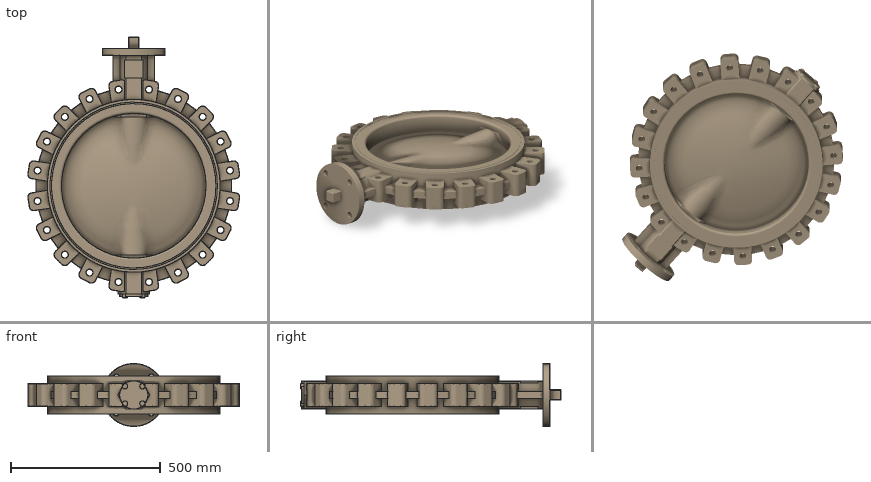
import cadquery as cq
import math


BODY_RADIUS = 288.0
BODY_WIDTH = 128.0
BORE_RADIUS = 241.0
BORE_LIP_RADIUS = 8.0
GROOVE_INNER_RADIUS = 274.0
GROOVE_OUTER_RADIUS = 279.0
GROOVE_DEPTH = 2.0

LUG_COUNT = 20
LUG_PITCH = 360.0 / LUG_COUNT
LUG_REACH = 355.0
LUG_WIDTH = 60.0
LUG_HEIGHT = 76.0
LUG_CORNER_RADIUS = 15.0
LUG_ROOT = 265.0
BOLT_CIRCLE_RADIUS = 325.0
BOLT_HOLE_DIAMETER = 22.0
WEB_APOTHEM = 326.5
WEB_HEIGHT = 24.0

DISC_BLANK_RADIUS = 270.0
DISC_RIM_RADIUS = 245.0
DISC_RIM_THICKNESS = 10.0
DISC_BLEND_OUTER_RADIUS = 225.0
DISC_DOME_RADIUS = 211.0
DISC_DOME_EDGE_HEIGHT = 7.4
DISC_DOME_TOP = 43.0

HUB_END = 230.0
HUB_ROOT = 250.0
HUB_ROOT_RADIUS = 47.7
HUB_TAPER_BREAK = 142.0
HUB_BREAK_RADIUS = 44.0
HUB_TIP = 55.0
HUB_TIP_RADIUS = 39.0
HUB_BLEND_RADIUS = 36.0
SEAT_BOSS_HEIGHT = 84.0
SEAT_BOSS_CHAMFER = 30.0

NECK_ACROSS_FLATS = 92.0
NECK_ROOT = 260.0
LOWER_NECK_END = 361.0

FLANGE_DIAMETER = 210.0
FLANGE_INNER_FACE = 434.5
FLANGE_OUTER_FACE = 458.5
FLANGE_BOLT_CIRCLE = 165.0
FLANGE_HOLE_DIAMETER = 22.0
RIB_WIDTH = 140.0
SQUARE_SIZE = 35.0
SQUARE_END = 496.0
SQUARE_EDGE_CHAMFER = 2.0
PAD_WIDTH = 61.0
PAD_START = 360.0
PAD_LENGTH = 59.0
PAD_PROUD = 1.0

COVER_RADIUS = 47.0
COVER_OUTER_FACE = 370.0
SCREW_OFFSET = 29.0
SCREW_HEAD_DIAMETER = 18.0
SCREW_HEAD_END = 374.0
SCREW_HEAD_ROUNDING = 3.9


def xz_plane(y):
    """Sketch plane at the given Y, its normal pointing along +Y and its local Y along Z."""
    return cq.Workplane(cq.Plane(origin=(0, y, 0), xDir=(-1, 0, 0), normal=(0, 1, 0)))


def make_body():
    half = BODY_WIDTH / 2
    lip_start = BORE_RADIUS + BORE_LIP_RADIUS
    lip_end = half - BORE_LIP_RADIUS
    lip_mid_offset = BORE_LIP_RADIUS * (1 - math.sqrt(0.5))
    ring = (
        cq.Workplane("XZ")
        .moveTo(BORE_RADIUS, -lip_end)
        .lineTo(BORE_RADIUS, lip_end)
        .threePointArc((BORE_RADIUS + lip_mid_offset, half - lip_mid_offset), (lip_start, half))
        .lineTo(BODY_RADIUS, half)
        .lineTo(BODY_RADIUS, -half)
        .lineTo(lip_start, -half)
        .threePointArc((BORE_RADIUS + lip_mid_offset, lip_mid_offset - half), (BORE_RADIUS, -lip_end))
        .close()
        .revolve(360, (0, 0, 0), (0, 1, 0))
    )
    for bottom in (half - GROOVE_DEPTH, -half):
        groove = (
            cq.Workplane("XY", origin=(0, 0, bottom))
            .circle(GROOVE_OUTER_RADIUS)
            .circle(GROOVE_INNER_RADIUS)
            .extrude(GROOVE_DEPTH)
        )
        ring = ring.cut(groove)
    return ring


def make_web():
    corner_radius = WEB_APOTHEM / math.cos(math.pi / LUG_COUNT)
    return (
        cq.Workplane("XY", origin=(0, 0, -WEB_HEIGHT / 2))
        .polygon(LUG_COUNT, 2 * corner_radius)
        .extrude(WEB_HEIGHT)
        .rotate((0, 0, 0), (0, 0, 1), LUG_PITCH / 2)
        .cut(cq.Workplane("XY", origin=(0, 0, -WEB_HEIGHT / 2)).circle(LUG_ROOT).extrude(WEB_HEIGHT))
    )


def lug_angles():
    return [(i + 0.5) * LUG_PITCH for i in range(LUG_COUNT)]


def make_lug(angle):
    length = LUG_REACH - LUG_ROOT
    return (
        cq.Workplane("XY")
        .box(length, LUG_WIDTH, LUG_HEIGHT)
        .edges("|Z and >X")
        .fillet(LUG_CORNER_RADIUS)
        .translate((LUG_ROOT + length / 2, 0, 0))
        .rotate((0, 0, 0), (0, 0, 1), angle)
    )


def make_bolt_holes():
    return (
        cq.Workplane("XY", origin=(0, 0, -LUG_HEIGHT / 2))
        .polarArray(BOLT_CIRCLE_RADIUS, LUG_PITCH / 2, 360, LUG_COUNT)
        .circle(BOLT_HOLE_DIAMETER / 2)
        .extrude(LUG_HEIGHT)
    )


def make_half_disc():
    """Upper half of the lens-shaped disc: a flat rim rising tangentially into a spherical dome."""
    rise = DISC_DOME_TOP - DISC_DOME_EDGE_HEIGHT
    sphere_radius = (DISC_DOME_RADIUS**2 + rise**2) / (2 * rise)
    mid_radius = DISC_DOME_RADIUS / 2
    mid_height = DISC_DOME_TOP - sphere_radius + math.sqrt(sphere_radius**2 - mid_radius**2)
    rim_height = DISC_RIM_THICKNESS / 2
    return (
        cq.Workplane("YZ")
        .lineTo(DISC_BLANK_RADIUS, 0)
        .lineTo(DISC_BLANK_RADIUS, rim_height)
        .lineTo(DISC_BLEND_OUTER_RADIUS, rim_height)
        .tangentArcPoint((DISC_DOME_RADIUS, DISC_DOME_EDGE_HEIGHT), relative=False)
        .threePointArc((mid_radius, mid_height), (0, DISC_DOME_TOP))
        .close()
        .revolve(360, (0, 0, 0), (0, 1, 0))
    )


def make_half_hub():
    """Upper half of the tapered hub on the +Y side."""
    return (
        cq.Workplane("XY")
        .moveTo(0, HUB_TIP)
        .lineTo(HUB_TIP_RADIUS, HUB_TIP)
        .lineTo(HUB_BREAK_RADIUS, HUB_TAPER_BREAK)
        .lineTo(HUB_ROOT_RADIUS, HUB_ROOT)
        .lineTo(0, HUB_ROOT)
        .close()
        .revolve(180, (0, 0, 0), (0, -1, 0))
    )


def make_disc():
    """Disc with two hubs blended into both of its faces, trimmed flat at the hub ends."""
    hub = make_half_hub()
    upper = make_half_disc().union(hub).union(hub.mirror("XZ"))
    upper = upper.edges("%BSPLINE or %HYPERBOLA").fillet(HUB_BLEND_RADIUS)
    envelope = (
        cq.Workplane("XY")
        .circle(DISC_RIM_RADIUS)
        .extrude(DISC_DOME_TOP + HUB_ROOT_RADIUS)
        .intersect(cq.Workplane("XY").box(2 * DISC_RIM_RADIUS, 2 * HUB_END, 2 * DISC_RIM_RADIUS))
    )
    upper = upper.intersect(envelope)
    return upper.union(upper.mirror("XY"))


def make_seat_boss():
    """Flat-faced boss on the liner that meets the end of the +Y hub; it spans the chord of the bore."""
    half_chord = math.sqrt(BORE_RADIUS**2 - HUB_END**2)
    return (
        xz_plane(HUB_END)
        .rect(2 * half_chord, SEAT_BOSS_HEIGHT)
        .extrude(NECK_ROOT - HUB_END)
        .edges("|Y")
        .chamfer(SEAT_BOSS_CHAMFER)
    )


def make_neck(end):
    """Hexagonal shaft neck on the +Y side, its flats facing up and down."""
    corner_diameter = NECK_ACROSS_FLATS / math.cos(math.pi / 6)
    return xz_plane(NECK_ROOT).polygon(6, corner_diameter).extrude(end - NECK_ROOT)


def make_upper_neck():
    length = FLANGE_INNER_FACE - NECK_ROOT
    ribs = xz_plane(NECK_ROOT).rect(RIB_WIDTH, WEB_HEIGHT).extrude(length)
    pads = xz_plane(PAD_START).rect(PAD_WIDTH, NECK_ACROSS_FLATS + 2 * PAD_PROUD).extrude(PAD_LENGTH)
    return make_neck(FLANGE_INNER_FACE).union(ribs).union(pads)


def make_flange():
    bolt_spacing = FLANGE_BOLT_CIRCLE / math.sqrt(2)
    return (
        xz_plane(FLANGE_INNER_FACE)
        .circle(FLANGE_DIAMETER / 2)
        .extrude(FLANGE_OUTER_FACE - FLANGE_INNER_FACE)
        .faces(">Y")
        .workplane(origin=(0, FLANGE_OUTER_FACE, 0))
        .rect(bolt_spacing, bolt_spacing, forConstruction=True)
        .vertices()
        .hole(FLANGE_HOLE_DIAMETER)
    )


def make_square_drive():
    return (
        xz_plane(FLANGE_OUTER_FACE)
        .rect(SQUARE_SIZE, SQUARE_SIZE)
        .extrude(SQUARE_END - FLANGE_OUTER_FACE)
        .edges("|Y or >Y")
        .chamfer(SQUARE_EDGE_CHAMFER)
    )


def make_bottom_end():
    """Lower neck, round cover and its four screw heads, built on +Y and mirrored to -Y."""
    cover = xz_plane(LOWER_NECK_END).circle(COVER_RADIUS).extrude(COVER_OUTER_FACE - LOWER_NECK_END)
    screws = (
        xz_plane(LOWER_NECK_END)
        .rect(2 * SCREW_OFFSET, 2 * SCREW_OFFSET, forConstruction=True)
        .vertices()
        .circle(SCREW_HEAD_DIAMETER / 2)
        .extrude(SCREW_HEAD_END - LOWER_NECK_END)
        .edges(">Y")
        .fillet(SCREW_HEAD_ROUNDING)
    )
    return make_neck(LOWER_NECK_END).union(cover).union(screws).mirror("XZ")


def make_valve():
    valve = make_body().union(make_web())
    for angle in lug_angles():
        valve = valve.union(make_lug(angle))
    boss = make_seat_boss()
    parts = (
        make_disc(),
        boss,
        boss.mirror("XZ"),
        make_upper_neck(),
        make_flange(),
        make_square_drive(),
        make_bottom_end(),
    )
    assembled = valve.val().fuse(*[part.val() for part in parts])
    return cq.Workplane(assembled.cut(make_bolt_holes().val()).Solids()[0])


result = make_valve()